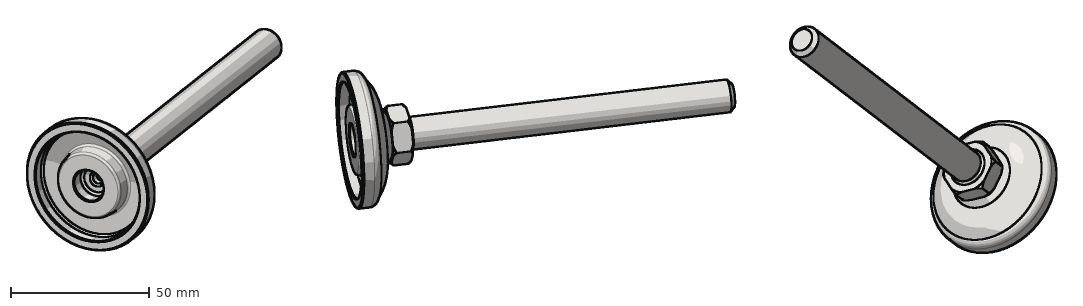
import cadquery as cq
import math

TOTAL_LENGTH = 141.6

RIM_RADIUS = 24.99
RIM_BEVEL = 0.4
RIM_HEIGHT = 4.2
SHOULDER_RADIUS = 22.7
SHOULDER_HEIGHT = 7.2
DOME_MIDDLE = (18.7, 9.9)
DOME_TOP_RADIUS = 11.9
DOME_TOP_HEIGHT = 11.6
NECK_RADIUS = 8.4
HEX_BASE = 14.2

RECESS_RADIUS = 21.2
RECESS_CHAMFER = 0.35
RECESS_WALL_HEIGHT = 4.2
ROOF_OUTER_RADIUS = 20.5
ROOF_OUTER_HEIGHT = 5.2
ROOF_INNER_HEIGHT = 6.8
BOSS_TIP_RADIUS = 12.9
BOSS_ROOT_RADIUS = 13.3
BOSS_FACE = 1.0
BOSS_ROUND = 0.8
BOSS_ROOT_ROUND = 0.8
BORE_RADIUS = 6.0
BORE_CHAMFER = 0.35
SEAT_HEIGHT = 7.0
SEAT_CONE_HEIGHT = 0.8

PIN_RADIUS = 4.88
HEX_ACROSS_FLATS = 19.0
HEX_THICKNESS = 7.4
HEX_CHAMFER_RADIUS = 9.9
HEX_CHAMFER_ANGLE = 45
STEM_RADIUS = 6.02
STEM_TIP_CHAMFER = 1.77
STEM_FLARE = 1.0

DISH_RADIUS = 2.8
DISH_DEPTH = 0.4
CENTRE_RADIUS = 2.0
CENTRE_CONE_DEPTH = 0.8
CENTRE_HOLE_DEPTH = 2.8
DRILL_POINT_ANGLE = 118

HEX_TOP = HEX_BASE + HEX_THICKNESS


def revolve_about_y(profile):
    return profile.close().revolve(360, (0, 0, 0), (0, 1, 0))


def make_foot():
    """Domed cup with a central bored, slightly tapered boss underneath."""
    arc_45 = math.sin(math.radians(45))
    boss_round_centre = (BOSS_TIP_RADIUS - BOSS_ROUND, BOSS_FACE + BOSS_ROUND)
    boss_round_middle = (
        boss_round_centre[0] + BOSS_ROUND * arc_45,
        boss_round_centre[1] - BOSS_ROUND * arc_45,
    )
    root_round_middle = (
        BOSS_ROOT_RADIUS + BOSS_ROOT_ROUND * (1 - arc_45),
        ROOF_INNER_HEIGHT - BOSS_ROOT_ROUND * (1 - arc_45),
    )
    profile = (
        cq.Workplane("XY")
        .moveTo(RECESS_RADIUS + RECESS_CHAMFER, 0)
        .lineTo(RIM_RADIUS - RIM_BEVEL, 0)
        .lineTo(RIM_RADIUS, RIM_BEVEL)
        .lineTo(RIM_RADIUS, RIM_HEIGHT)
        .tangentArcPoint((SHOULDER_RADIUS, SHOULDER_HEIGHT), relative=False)
        .threePointArc(DOME_MIDDLE, (DOME_TOP_RADIUS, DOME_TOP_HEIGHT))
        .lineTo(NECK_RADIUS, HEX_BASE)
        .lineTo(PIN_RADIUS, HEX_BASE)
        .lineTo(PIN_RADIUS, SEAT_HEIGHT)
        .lineTo(BORE_RADIUS, SEAT_HEIGHT - SEAT_CONE_HEIGHT)
        .lineTo(BORE_RADIUS, BOSS_FACE + BORE_CHAMFER)
        .lineTo(BORE_RADIUS + BORE_CHAMFER, BOSS_FACE)
        .lineTo(boss_round_centre[0], BOSS_FACE)
        .threePointArc(boss_round_middle, (BOSS_TIP_RADIUS, boss_round_centre[1]))
        .lineTo(BOSS_ROOT_RADIUS, ROOF_INNER_HEIGHT - BOSS_ROOT_ROUND)
        .threePointArc(root_round_middle, (BOSS_ROOT_RADIUS + BOSS_ROOT_ROUND, ROOF_INNER_HEIGHT))
        .lineTo(ROOF_OUTER_RADIUS, ROOF_OUTER_HEIGHT)
        .lineTo(RECESS_RADIUS, RECESS_WALL_HEIGHT)
        .lineTo(RECESS_RADIUS, RECESS_CHAMFER)
    )
    return revolve_about_y(profile)


def make_hex():
    """Hexagon with corners along X and both ends chamfered at the corners."""
    corner_radius = HEX_ACROSS_FLATS / 2 / math.cos(math.radians(30))
    prism = (
        cq.Workplane("XZ", origin=(0, HEX_BASE, 0))
        .polygon(6, 2 * corner_radius)
        .extrude(-HEX_THICKNESS)
    )
    chamfer_height = (corner_radius - HEX_CHAMFER_RADIUS) * math.tan(math.radians(HEX_CHAMFER_ANGLE))
    chamfer_envelope = revolve_about_y(
        cq.Workplane("XY")
        .moveTo(0, HEX_BASE)
        .lineTo(HEX_CHAMFER_RADIUS, HEX_BASE)
        .lineTo(corner_radius, HEX_BASE + chamfer_height)
        .lineTo(corner_radius, HEX_TOP - chamfer_height)
        .lineTo(HEX_CHAMFER_RADIUS, HEX_TOP)
        .lineTo(0, HEX_TOP)
    )
    return prism.intersect(chamfer_envelope)


def make_shank():
    """Pin below the hexagon and stem above it, with the recess in the pin's end."""
    dish_end = SEAT_HEIGHT + DISH_DEPTH
    cone_end = dish_end + CENTRE_CONE_DEPTH
    hole_end = cone_end + CENTRE_HOLE_DEPTH
    drill_point_height = CENTRE_RADIUS / math.tan(math.radians(DRILL_POINT_ANGLE / 2))
    profile = (
        cq.Workplane("XY")
        .moveTo(0, hole_end + drill_point_height)
        .lineTo(CENTRE_RADIUS, hole_end)
        .lineTo(CENTRE_RADIUS, cone_end)
        .lineTo(DISH_RADIUS, dish_end)
        .lineTo(PIN_RADIUS, SEAT_HEIGHT)
        .lineTo(PIN_RADIUS, HEX_TOP)
        .lineTo(STEM_RADIUS + STEM_FLARE, HEX_TOP)
        .lineTo(STEM_RADIUS, HEX_TOP + STEM_FLARE)
        .lineTo(STEM_RADIUS, TOTAL_LENGTH - STEM_TIP_CHAMFER)
        .lineTo(STEM_RADIUS - STEM_TIP_CHAMFER, TOTAL_LENGTH)
        .lineTo(0, TOTAL_LENGTH)
    )
    return revolve_about_y(profile)


foot = make_foot()
bolt = make_shank().union(make_hex())

result = cq.Compound.makeCompound([foot.val(), bolt.val()])